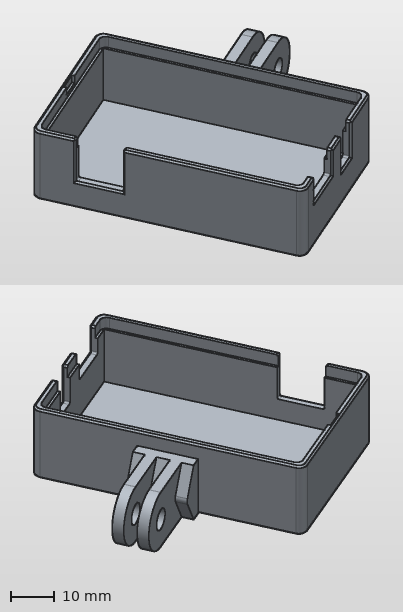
import cadquery as cq
import math

LENGTH = 66.8
WIDTH = 42.15
HEIGHT = 18.9
WALL = 2.1
FLOOR = 1.55
CORNER_RADIUS = 2.1
EDGE_CHAMFER = 0.5

RIM_WALL = 1.4
SEAT_DEPTH = 3.0
SEAT_RADIUS = 1.6

LATCH_WALL = 0.75
LATCH_LENGTH = 5.0
LATCH_DEPTH = 2.0
LATCH_Y = 0.1

NOTCH_FLARE = EDGE_CHAMFER
NOTCH_RADIUS = 0.5
FRONT_NOTCH = {"start": -22.65, "end": -11.1, "depth": 11.7}
END_NOTCHES = [
    {"start": 2.2, "end": 8.3, "depth": 10.0},
    {"start": -15.0, "end": -3.6, "depth": 7.2},
]

OVERALL_WIDTH = 65.3
REACH = OVERALL_WIDTH - WIDTH
LUG_RADIUS = 7.5
LUG_THICKNESS = 2.9
LUG_PITCH = 6.15
HOLE_DIAMETER = 5.3
BLOCK_LENGTH = 14.9
BLOCK_SHOULDER = 2.75
WEDGE_ANGLE = 60.0
WEDGE_TIP_RADIUS = 1.55

BACK_Y = WIDTH / 2
MOUNT_ROOT_Y = BACK_Y - RIM_WALL / 2
LUG_HEIGHT = 2 * LUG_RADIUS


def make_case():
    case = cq.Workplane("XY").box(LENGTH, WIDTH, HEIGHT, centered=(True, True, False))
    case = case.edges("|Z").fillet(CORNER_RADIUS)
    case = case.faces("<Z or >Z").edges().chamfer(EDGE_CHAMFER)
    cavity = cq.Workplane("XY", origin=(0, 0, FLOOR)).box(
        LENGTH - 2 * WALL, WIDTH - 2 * WALL, HEIGHT, centered=(True, True, False)
    )
    seat = cq.Workplane("XY", origin=(0, 0, HEIGHT - SEAT_DEPTH)).box(
        LENGTH - 2 * RIM_WALL, WIDTH - 2 * RIM_WALL, HEIGHT, centered=(True, True, False)
    )
    seat = seat.edges("|Z").fillet(SEAT_RADIUS)
    return case.cut(cavity).cut(seat)


def make_latch_pocket():
    return cq.Workplane("XY").box(
        RIM_WALL - LATCH_WALL, LATCH_LENGTH, LATCH_DEPTH, centered=(False, True, False)
    ).translate((LATCH_WALL - LENGTH / 2, LATCH_Y, HEIGHT - LATCH_DEPTH))


def make_notch(outer_face, start, end, depth):
    """Cutter for a notch; outer_face lies on the wall, normal outwards."""
    width = end - start
    middle = (start + end) / 2
    bottom = HEIGHT - depth
    tall = 2 * depth
    along_normal = "|Y" if outer_face.zDir.x == 0 else "|X"
    opening = (
        cq.Workplane(outer_face)
        .center(middle, bottom + tall / 2)
        .rect(width, tall)
        .extrude(-2 * WALL)
        .edges(along_normal)
        .fillet(NOTCH_RADIUS)
    )
    flare = (
        cq.Workplane(outer_face)
        .center(middle, bottom + tall / 2)
        .rect(width + 2 * NOTCH_FLARE, tall + 2 * NOTCH_FLARE)
        .workplane(offset=-NOTCH_FLARE)
        .rect(width, tall)
        .loft()
    )
    rim_bevel = (
        cq.Workplane(outer_face)
        .moveTo(start - NOTCH_FLARE, HEIGHT)
        .lineTo(end + NOTCH_FLARE, HEIGHT)
        .lineTo(end, HEIGHT - NOTCH_FLARE)
        .lineTo(start, HEIGHT - NOTCH_FLARE)
        .close()
        .extrude(-2 * WALL)
    )
    return opening.union(flare).union(rim_bevel)


def make_mount():
    wedge_run = LUG_RADIUS / math.tan(math.radians(WEDGE_ANGLE))
    shoulder_y = BACK_Y + BLOCK_SHOULDER
    block = (
        cq.Workplane("YZ", origin=(-BLOCK_LENGTH / 2, 0, 0))
        .moveTo(MOUNT_ROOT_Y, 0)
        .lineTo(shoulder_y, 0)
        .lineTo(shoulder_y + wedge_run, LUG_RADIUS)
        .lineTo(shoulder_y, LUG_HEIGHT)
        .lineTo(MOUNT_ROOT_Y, LUG_HEIGHT)
        .close()
        .extrude(BLOCK_LENGTH)
        .edges("|X and >Y")
        .fillet(WEDGE_TIP_RADIUS)
    )
    return block.union(make_lug(-LUG_PITCH / 2)).union(make_lug(LUG_PITCH / 2))


def make_lug(middle_x):
    hole_y = BACK_Y + REACH - LUG_RADIUS
    lug = (
        cq.Workplane("YZ", origin=(middle_x - LUG_THICKNESS / 2, 0, 0))
        .moveTo(MOUNT_ROOT_Y, 0)
        .lineTo(hole_y, 0)
        .threePointArc((hole_y + LUG_RADIUS, LUG_RADIUS), (hole_y, LUG_HEIGHT))
        .lineTo(MOUNT_ROOT_Y, LUG_HEIGHT)
        .close()
        .extrude(LUG_THICKNESS)
    )
    hole = (
        cq.Workplane("YZ", origin=(middle_x - LUG_THICKNESS / 2, hole_y, LUG_RADIUS))
        .circle(HOLE_DIAMETER / 2)
        .extrude(LUG_THICKNESS)
    )
    return lug.cut(hole)


front_face = cq.Plane(origin=(0, -WIDTH / 2, 0), xDir=(1, 0, 0), normal=(0, -1, 0))
end_face = cq.Plane(origin=(LENGTH / 2, 0, 0), xDir=(0, 1, 0), normal=(1, 0, 0))

result = make_case().cut(make_latch_pocket())
result = result.cut(make_notch(front_face, **FRONT_NOTCH))
for notch in END_NOTCHES:
    result = result.cut(make_notch(end_face, **notch))
result = result.union(make_mount())